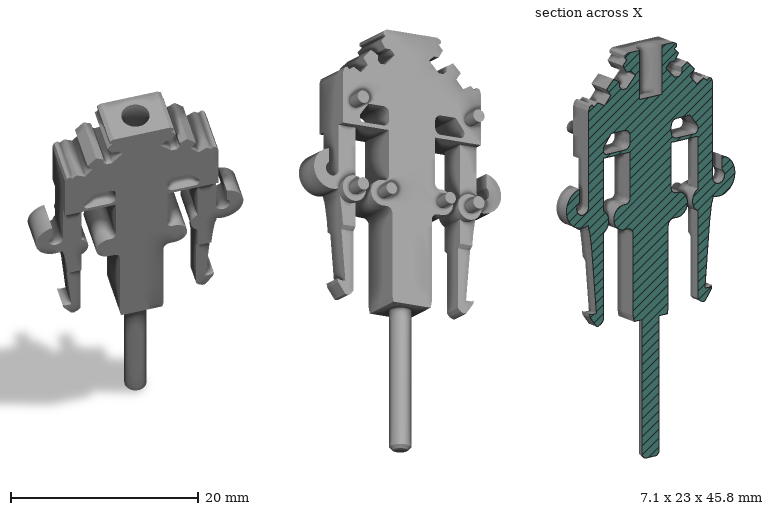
import cadquery as cq


TOTAL_HEIGHT = 45.8
BODY_BOTTOM = 15.55
BODY_THICKNESS = 5.15
MID_X = BODY_THICKNESS / 2

HEAD_HALF_WIDTH = 3.53
HEAD_BEVEL_WIDTH = 0.4
HEAD_BEVEL_HEIGHT = 0.25
SHOULDER_HALF_WIDTH = 8.47
NECK_HALF_WIDTH = 2.85
STEM_HALF_WIDTH = 2.45
STEM_END_HALF_WIDTH = 2.3
STEM_TAPER_HEIGHT = 0.75

SHOULDER_TOP = 40.3
SHOULDER_BOTTOM = 34.62
WINDOW_TOP = 37.2
WINDOW_BOTTOM = 35.05
WINDOW_SLOPE_BOTTOM = 35.8
WINDOW_TOP_OUTER_Y = 5.35
WINDOW_NECK_FILLET = 0.7
WINDOW_OUTER_FILLET = 0.45

PIVOT_Z = 27.53
PIVOT_RADIUS = 1.4
LUG_Y = 3.6
LUG_UPPER_FILLET = 0.55
LUG_LOWER_FILLET = 0.7

PIN_LENGTH = 1.95
PIN_Y = 7.1
SHOULDER_PIN_Z = 37.2
PIN_RADIUS = 0.7
LUG_PIN_RADIUS = 0.65

ARM_FACE_X = 0.95
ARM_THICKNESS = 3.3
ARM_INNER_Y = 6.4
LEG_FACE_X = 1.37
LEG_THICKNESS = 2.4
LEG_SHOULDER_TOP = 23.6
LEG_SHOULDER_BOTTOM = 23.17

HOOK_Z = 29.65
HOOK_RADIUS = 2.25
HOOK_SLOT_RADIUS = 0.8
HOOK_Y = SHOULDER_HALF_WIDTH + HOOK_SLOT_RADIUS
HOOK_TIP_INNER_Y = 9.65

CONTACT_DIAMETER = 2.4
CONTACT_CHAMFER = 0.35
SOCKET_DIAMETER = 3.0
SOCKET_DEPTH = 5.5


def plate(outline, start_x, thickness):
    """Extrude a closed Y-Z outline along +X, starting at start_x."""
    return outline.extrude(thickness).translate((start_x, 0, 0))


def cylinder_x(y, z, radius, start_x, length):
    """Cylinder along +X."""
    return plate(cq.Workplane("YZ").center(y, z).circle(radius), start_x, length)


def body_half():
    """Half of the body: toothed top, shoulder block, neck and tapered stem."""
    outline = (
        cq.Workplane("YZ")
        .moveTo(0, TOTAL_HEIGHT)
        .lineTo(HEAD_HALF_WIDTH - HEAD_BEVEL_WIDTH, TOTAL_HEIGHT)
        .lineTo(HEAD_HALF_WIDTH, TOTAL_HEIGHT - HEAD_BEVEL_HEIGHT)
        .lineTo(HEAD_HALF_WIDTH, 45.2)
        .lineTo(3.25, 45.05)
        .lineTo(3.8, 44.45)
        .lineTo(3.3, 43.65)
        .lineTo(2.65, 43.65)
        .lineTo(2.1, 43.1)
        .lineTo(3.3, 41.85)
        .lineTo(3.9, 41.85)
        .lineTo(4.2, 42.2)
        .lineTo(4.2, 42.8)
        .lineTo(5.05, 43.25)
        .lineTo(6.0, 42.27)
        .lineTo(5.45, 41.5)
        .lineTo(6.27, 40.55)
        .lineTo(7.2, 41.05)
        .lineTo(7.7, 40.65)
        .lineTo(7.95, 40.95)
        .lineTo(8.3, 40.8)
        .lineTo(SHOULDER_HALF_WIDTH, SHOULDER_TOP)
        .lineTo(SHOULDER_HALF_WIDTH, SHOULDER_BOTTOM)
        .lineTo(NECK_HALF_WIDTH, SHOULDER_BOTTOM)
        .lineTo(NECK_HALF_WIDTH, PIVOT_Z)
        .lineTo(STEM_HALF_WIDTH, PIVOT_Z)
        .lineTo(STEM_HALF_WIDTH, BODY_BOTTOM + STEM_TAPER_HEIGHT)
        .lineTo(STEM_END_HALF_WIDTH, BODY_BOTTOM)
        .lineTo(0, BODY_BOTTOM)
        .close()
    )
    return plate(outline, 0, BODY_THICKNESS)


def lug():
    """Round-ended lug blended into the neck above and the stem below."""
    top = PIVOT_Z + PIVOT_RADIUS
    bottom = PIVOT_Z - PIVOT_RADIUS
    outline = (
        cq.Workplane("YZ")
        .moveTo(0, top + LUG_UPPER_FILLET)
        .lineTo(NECK_HALF_WIDTH, top + LUG_UPPER_FILLET)
        .radiusArc((NECK_HALF_WIDTH + LUG_UPPER_FILLET, top), -LUG_UPPER_FILLET)
        .lineTo(LUG_Y, top)
        .threePointArc((LUG_Y + PIVOT_RADIUS, PIVOT_Z), (LUG_Y, bottom))
        .lineTo(STEM_HALF_WIDTH + LUG_LOWER_FILLET, bottom)
        .radiusArc((STEM_HALF_WIDTH, bottom - LUG_LOWER_FILLET), -LUG_LOWER_FILLET)
        .lineTo(0, bottom - LUG_LOWER_FILLET)
        .close()
    )
    return plate(outline, 0, BODY_THICKNESS)


def window():
    """Through window with one sloping corner and rounded edges."""
    outline = (
        cq.Workplane("YZ")
        .moveTo(NECK_HALF_WIDTH, WINDOW_BOTTOM)
        .lineTo(NECK_HALF_WIDTH, WINDOW_TOP)
        .lineTo(WINDOW_TOP_OUTER_Y, WINDOW_TOP)
        .lineTo(ARM_INNER_Y, WINDOW_SLOPE_BOTTOM)
        .lineTo(ARM_INNER_Y, WINDOW_BOTTOM)
        .close()
    )
    opening = plate(outline, 0, BODY_THICKNESS)
    opening = opening.faces("<Y").edges("|X").fillet(WINDOW_NECK_FILLET)
    return opening.faces(">Y").edges("|X").fillet(WINDOW_OUTER_FILLET)


def arm():
    """Spring arm: straight bar, tapered leg and barbed foot, narrower in X along the leg."""
    outline = (
        cq.Workplane("YZ")
        .moveTo(ARM_INNER_Y, SHOULDER_BOTTOM)
        .lineTo(SHOULDER_HALF_WIDTH, SHOULDER_BOTTOM)
        .lineTo(SHOULDER_HALF_WIDTH, PIVOT_Z)
        .lineTo(8.3, 26.45)
        .lineTo(8.05, 24.82)
        .lineTo(7.4, 17.5)
        .lineTo(8.0, 17.5)
        .lineTo(8.4, 17.65)
        .lineTo(8.3, 17.2)
        .lineTo(7.4, 16.05)
        .lineTo(7.15, 16.0)
        .lineTo(6.75, 16.15)
        .lineTo(ARM_INNER_Y, 16.55)
        .close()
    )
    arm_end_x = ARM_FACE_X + ARM_THICKNESS
    leg_end_x = LEG_FACE_X + LEG_THICKNESS
    width_profile = (
        cq.Workplane("XZ")
        .polyline([
            (ARM_FACE_X, SHOULDER_BOTTOM),
            (arm_end_x, SHOULDER_BOTTOM),
            (arm_end_x, LEG_SHOULDER_TOP),
            (leg_end_x, LEG_SHOULDER_BOTTOM),
            (leg_end_x, 0),
            (LEG_FACE_X, 0),
            (LEG_FACE_X, LEG_SHOULDER_BOTTOM),
            (ARM_FACE_X, LEG_SHOULDER_TOP),
        ])
        .close()
        .extrude(-TOTAL_HEIGHT)
    )
    return plate(outline, 0, BODY_THICKNESS).intersect(width_profile)


def hook():
    """Open C-shaped hook whose slot runs upward between the hook tip and the arm."""
    disc = cylinder_x(HOOK_Y, HOOK_Z, HOOK_RADIUS, ARM_FACE_X, ARM_THICKNESS)
    slot_round = cylinder_x(HOOK_Y, HOOK_Z, HOOK_SLOT_RADIUS, ARM_FACE_X, ARM_THICKNESS)
    opening = plate(
        cq.Workplane("YZ")
        .moveTo(SHOULDER_HALF_WIDTH, HOOK_Z)
        .lineTo(HOOK_TIP_INNER_Y, HOOK_Z)
        .lineTo(HOOK_TIP_INNER_Y, HOOK_Z + HOOK_RADIUS)
        .lineTo(SHOULDER_HALF_WIDTH, HOOK_Z + HOOK_RADIUS)
        .close(),
        ARM_FACE_X,
        ARM_THICKNESS,
    )
    arm_side = (
        cq.Workplane("XY")
        .box(BODY_THICKNESS, ARM_INNER_Y, TOTAL_HEIGHT, centered=(False, False, False))
        .translate((0, SHOULDER_HALF_WIDTH - ARM_INNER_Y, 0))
    )
    return disc.cut(arm_side).cut(slot_round).cut(opening)


def pivot_disc():
    """Disc on the arm, reaching out to the plane of the pin face."""
    return cylinder_x(PIN_Y, PIVOT_Z, PIVOT_RADIUS, 0, ARM_FACE_X + ARM_THICKNESS)


def locating_pins():
    """Shoulder pin, arm pin and lug pin, each rooted inside the part."""
    root = ARM_FACE_X
    length = PIN_LENGTH + root
    shoulder_pin = cylinder_x(PIN_Y, SHOULDER_PIN_Z, PIN_RADIUS, -PIN_LENGTH, length)
    arm_pin = cylinder_x(PIN_Y, PIVOT_Z, PIN_RADIUS, -PIN_LENGTH, length)
    lug_pin = cylinder_x(LUG_Y, PIVOT_Z, LUG_PIN_RADIUS, -PIN_LENGTH, length)
    return shoulder_pin.union(arm_pin).union(lug_pin)


def contact_pin():
    """Round contact pin with a chamfered tip."""
    return (
        cq.Workplane("XY")
        .center(MID_X, 0)
        .circle(CONTACT_DIAMETER / 2)
        .extrude(BODY_BOTTOM)
        .faces("<Z")
        .chamfer(CONTACT_CHAMFER)
    )


def socket():
    """Blind round socket in the top face."""
    return (
        cq.Workplane("XY", origin=(MID_X, 0, TOTAL_HEIGHT))
        .circle(SOCKET_DIAMETER / 2)
        .extrude(-SOCKET_DEPTH)
    )


half = body_half().union(lug()).cut(window())
for feature in (arm(), hook(), pivot_disc(), locating_pins()):
    half = half.union(feature)

result = half.union(half.mirror("XZ")).union(contact_pin()).cut(socket())